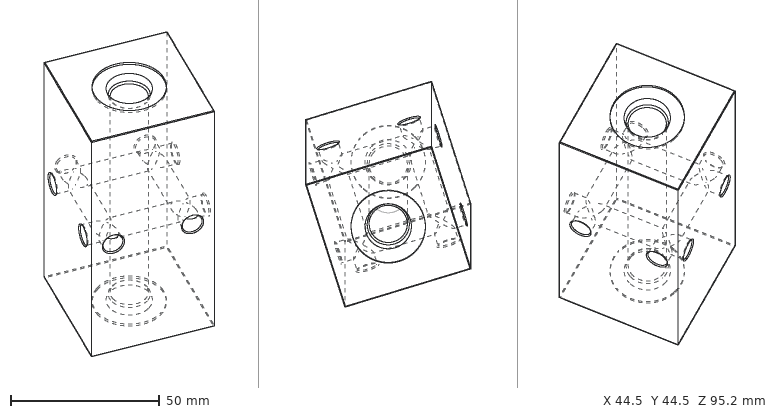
import cadquery as cq

width = 44.5
height = 95.25
end_chamfer = 0.3

spotface_diameter = 25.05
spotface_depth = 0.9
mouth_diameter = 15.6
mouth_floor_diameter = 14.2
mouth_depth = 2.8
bore_diameter = 12.9

cross_hole_diameter = 7.1
cross_hole_mouth_diameter = 8.0
cross_hole_offset = 14.3


def make_block():
    """Square bar centred on the origin, with the edges of both end faces broken."""
    block = cq.Workplane("XY").box(width, width, height)
    return block.faces("<Z or >Z").chamfer(end_chamfer)


def make_half_port():
    """Port from the top face down to mid height, revolved about Z."""
    top = height / 2
    seat = top - spotface_depth
    mouth_floor = seat - mouth_depth
    lead_in_depth = (mouth_floor_diameter - bore_diameter) / 2
    profile = [
        (0, top),
        (spotface_diameter / 2, top),
        (spotface_diameter / 2, seat),
        (mouth_diameter / 2, seat),
        (mouth_floor_diameter / 2, mouth_floor),
        (bore_diameter / 2, mouth_floor - lead_in_depth),
        (bore_diameter / 2, 0),
        (0, 0),
    ]
    return cq.Workplane("XZ").polyline(profile).close().revolve(360, (0, 0), (0, 1))


def make_cross_hole(offset):
    """Hole through the block along Y at X = offset, countersunk at both ends."""
    half_width = width / 2
    hole_radius = cross_hole_diameter / 2
    mouth_radius = cross_hole_mouth_diameter / 2
    sink_depth = mouth_radius - hole_radius
    profile = [
        (offset, -half_width),
        (offset + mouth_radius, -half_width),
        (offset + hole_radius, -half_width + sink_depth),
        (offset + hole_radius, half_width - sink_depth),
        (offset + mouth_radius, half_width),
        (offset, half_width),
    ]
    axis_start = (offset, 0)
    axis_end = (offset, 1)
    return cq.Workplane("XY").polyline(profile).close().revolve(360, axis_start, axis_end)


half_port = make_half_port()
result = make_block().cut(half_port).cut(half_port.mirror("XY"))

for side in (-1, 1):
    hole_along_y = make_cross_hole(side * cross_hole_offset)
    hole_along_x = hole_along_y.rotate((0, 0, 0), (0, 0, 1), 90)
    result = result.cut(hole_along_y).cut(hole_along_x)